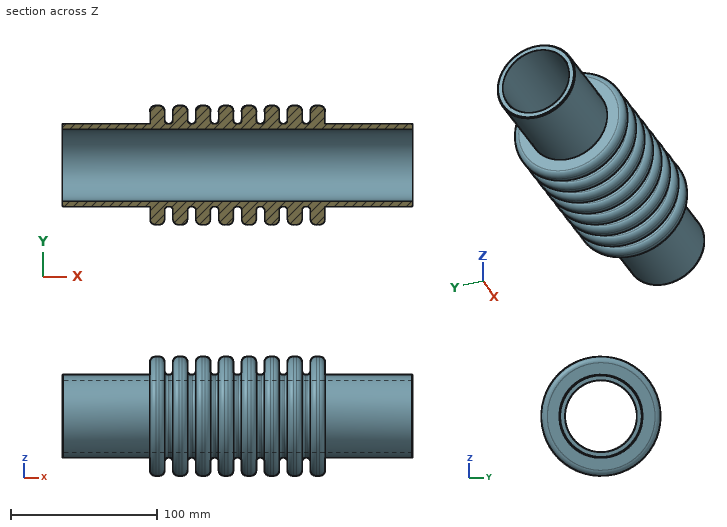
import cadquery as cq

length = 240.0
tube_diameter = 57.0
bore_diameter = 49.0
end_chamfer = 0.7

rib_diameter = 81.8
rib_count = 8
ribbed_length = 120.0
rib_width = 10.3
crest_radius = 4.0
root_radius = 2.2

rib_pitch = (ribbed_length - rib_width) / (rib_count - 1)
groove_width = rib_pitch - rib_width


def x_cylinder(diameter, cylinder_length, center_x=0.0):
    """Solid cylinder along X, centred at center_x."""
    start = center_x - cylinder_length / 2
    return cq.Workplane("YZ", origin=(start, 0, 0)).circle(diameter / 2).extrude(cylinder_length)


def rib(center_x):
    """Disc with both outer edges rounded."""
    return x_cylinder(rib_diameter, rib_width, center_x).edges("%CIRCLE").fillet(crest_radius)


def groove_root(center_x):
    """Ring that fills a groove's two bottom corners with concave fillets."""
    half_width = groove_width / 2
    root = tube_diameter / 2
    corner_setback = root_radius * (1 - 0.5 ** 0.5)
    flat_half = half_width - root_radius
    profile = (
        cq.Workplane("XY")
        .moveTo(center_x - half_width, bore_diameter / 2)
        .lineTo(center_x - half_width, root + root_radius)
        .threePointArc(
            (center_x - half_width + corner_setback, root + corner_setback),
            (center_x - flat_half, root),
        )
        .lineTo(center_x + flat_half, root)
        .threePointArc(
            (center_x + half_width - corner_setback, root + corner_setback),
            (center_x + half_width, root + root_radius),
        )
        .lineTo(center_x + half_width, bore_diameter / 2)
        .close()
    )
    return profile.revolve(360, (0, 0, 0), (1, 0, 0))


body = x_cylinder(tube_diameter, length).faces("<X or >X").edges().chamfer(end_chamfer)

first_rib_x = -(ribbed_length - rib_width) / 2
for index in range(rib_count):
    body = body.union(rib(first_rib_x + index * rib_pitch))
for index in range(rib_count - 1):
    body = body.union(groove_root(first_rib_x + (index + 0.5) * rib_pitch))

result = body.cut(x_cylinder(bore_diameter, length))